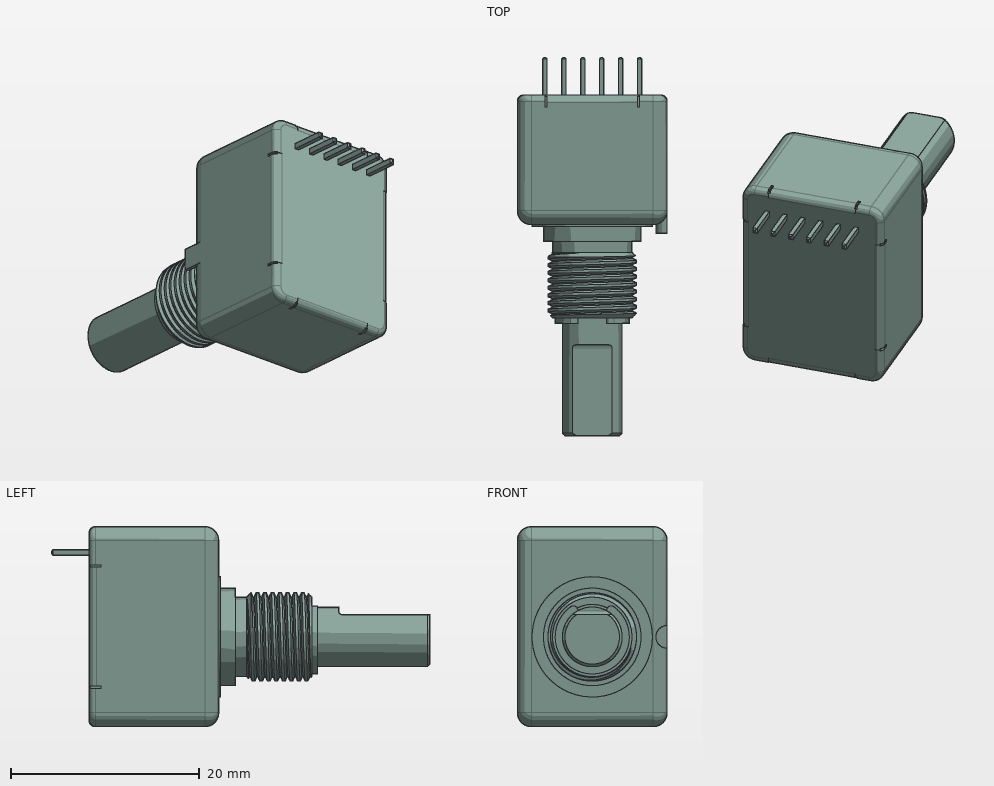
import cadquery as cq
import math


body_width = 15.9
body_depth = 13.75
body_height = 21.2
body_center_z = 1.1
front_radius = 1.5
back_radius = 0.7

slot_width = 0.25
slot_length = 1.3
slot_depth = 0.32
side_slot_spacing = 12.85
top_slot_spacing = 9.8
rim_radius = 0.8

pin_count = 6
pin_pitch = 2.0
pin_width = 0.5
pin_height = 0.6
pin_length = 3.97
pin_tip = 0.15
pin_z = 8.95

key_radius = 1.2
key_length = 0.92

disc_radius = 6.38
disc_length = 0.2
collar_radius = 5.17
collar_length = 1.55
neck_radius = 4.2
neck_length = 1.15
thread_radius = 4.7
thread_root_radius = 4.25
thread_length = 6.95
thread_pitch = 0.8
thread_start_angle = 110.0
seam_offset_angle = 30.0
groove_root_width = 0.12
groove_crest_width = 0.52
groove_overshoot = 0.1
bore_radius = 3.45
bore_depth = 0.12

clip_outer_radius = 3.95
clip_inner_radius = 2.95
clip_thickness = 0.6
clip_end_angle = 35.5

overall_length = 40.1
shaft_radius = 3.15
shaft_chamfer = 0.3
flat_height = 2.35
flat_setback = 2.25
flat_fillet = 0.35

disc_end = disc_length
collar_end = disc_end + collar_length
thread_start = collar_end + neck_length
thread_end = thread_start + thread_length
clip_end = thread_end + clip_thickness
shaft_end = overall_length - body_depth - pin_length


def cylinder(radius, start, end):
    """Cylinder on the shaft axis between two distances in front of the housing."""
    return cq.Workplane("XZ", origin=(0, -start, 0)).circle(radius).extrude(end - start)


def box(size_x, size_y, size_z, center):
    return cq.Workplane("XY").box(size_x, size_y, size_z).translate(center)


def rim_cutter(length):
    """Bar that trims an X-running edge at Y = 0, Z = 0 to the larger rim radius."""
    corner = cq.Workplane("YZ").rect(2 * rim_radius, 2 * rim_radius).extrude(length / 2, both=True)
    rounding = cq.Workplane("YZ").center(-rim_radius, -rim_radius).circle(rim_radius)
    return corner.cut(rounding.extrude(length / 2, both=True))


def snap_side(half_span, spacing):
    """Two slots and the trimmed rim between them, for the side facing +Z."""
    cutter = rim_cutter(spacing).translate((0, body_depth, half_span))
    for x in (-spacing / 2, spacing / 2):
        center = (x, body_depth - slot_length / 2, half_span - slot_depth / 2)
        cutter = cutter.union(box(slot_width, slot_length, slot_depth, center))
    return cutter


def make_housing():
    housing = box(body_width, body_depth, body_height, (0, body_depth / 2, 0))
    housing = housing.edges("|Y or <Y").fillet(front_radius)
    housing = housing.faces(">Y").edges().fillet(back_radius)
    for turn in (0, 180):
        top_cut = snap_side(body_height / 2, top_slot_spacing)
        housing = housing.cut(top_cut.rotate((0, 0, 0), (0, 1, 0), turn))
        side_cut = snap_side(body_width / 2, side_slot_spacing)
        housing = housing.cut(side_cut.rotate((0, 0, 0), (0, 1, 0), turn + 90))
    return housing.translate((0, 0, body_center_z))


def make_pin(x):
    """Pin with a small four-sided point; it starts at the housing's back face."""
    shank = (
        cq.Workplane("XZ", origin=(x, body_depth, pin_z))
        .rect(pin_width, pin_height)
        .extrude(-pin_length)
    )
    return shank.faces(">Y").chamfer(pin_tip)


def make_key():
    """Half-round key flush with the +X side, running back through the front rounding."""
    key = (
        cq.Workplane("XZ", origin=(body_width / 2, -key_length, 0))
        .circle(key_radius)
        .extrude(-(key_length + front_radius))
    )
    outside = box(2 * key_radius, 4 * body_depth, 2 * key_radius, (body_width / 2 + key_radius, 0, 0))
    return key.cut(outside)


def make_thread():
    """Right-handed external thread, chamfered at both ends; built upright, then laid along -Y."""
    flank_slope = (groove_crest_width - groove_root_width) / 2 / (thread_radius - thread_root_radius)
    half_root = groove_root_width / 2
    half_outer = groove_crest_width / 2 + groove_overshoot * flank_slope
    outer_radius = thread_radius + groove_overshoot
    profile = cq.Workplane("XZ").polyline([
        (thread_root_radius, -half_root),
        (outer_radius, -half_outer),
        (outer_radius, half_outer),
        (thread_root_radius, half_root),
    ]).close()
    helix = cq.Wire.makeHelix(thread_pitch, thread_length, thread_root_radius)
    groove = profile.sweep(cq.Workplane(helix), isFrenet=True)
    blank = cq.Workplane("XY").circle(thread_radius).extrude(thread_length)
    blank = blank.faces("<Z or >Z").chamfer(thread_radius - neck_radius)
    blank = blank.rotate((0, 0, 0), (0, 0, 1), -seam_offset_angle)
    thread = blank.cut(groove)
    thread = thread.rotate((0, 0, 0), (0, 0, 1), thread_start_angle)
    thread = thread.rotate((0, 0, 0), (1, 0, 0), 90)
    return thread.translate((0, -thread_start, 0))


def make_bushing():
    bushing = cylinder(disc_radius, 0, disc_end)
    bushing = bushing.union(cylinder(collar_radius, disc_end, collar_end))
    bushing = bushing.union(cylinder(neck_radius, collar_end, thread_start))
    bushing = bushing.union(make_thread())
    return bushing.cut(cylinder(bore_radius, thread_end - bore_depth, thread_end))


def make_clip():
    """C-shaped clip, open at the top, with full-round ends."""
    mid_radius = (clip_outer_radius + clip_inner_radius) / 2
    end_radius = (clip_outer_radius - clip_inner_radius) / 2
    angle = math.radians(clip_end_angle)
    side = math.sin(angle)
    rise = math.cos(angle)
    reach = 2 * clip_outer_radius
    opening = (
        cq.Workplane("XZ", origin=(0, -thread_end, 0))
        .polyline([(0, 0), (-reach * side, reach * rise), (reach * side, reach * rise)])
        .close()
        .extrude(clip_thickness)
    )
    rounded_ends = (
        cq.Workplane("XZ", origin=(0, -thread_end, 0))
        .pushPoints([(-mid_radius * side, mid_radius * rise), (mid_radius * side, mid_radius * rise)])
        .circle(end_radius)
        .extrude(clip_thickness)
    )
    ring = cylinder(clip_outer_radius, thread_end, clip_end)
    ring = ring.cut(cylinder(clip_inner_radius, thread_end, clip_end))
    return ring.cut(opening).union(rounded_ends)


def make_shaft():
    """D-shaft with a filleted step at the inner end of the flat."""
    shaft = cylinder(shaft_radius, 0, shaft_end).faces("<Y").chamfer(shaft_chamfer)
    flat_length = shaft_end - clip_end - flat_setback
    flat_center = (0, -(shaft_end - flat_length / 2), flat_height + shaft_radius / 2)
    flat = box(2 * shaft_radius, flat_length, shaft_radius, flat_center)
    flat = flat.edges(">Y and <Z").fillet(flat_fillet)
    return shaft.cut(flat)


result = make_housing()
for index in range(pin_count):
    result = result.union(make_pin((index - (pin_count - 1) / 2) * pin_pitch))
result = result.union(make_key())
result = result.union(make_bushing())
result = result.union(make_shaft())
result = result.union(make_clip())